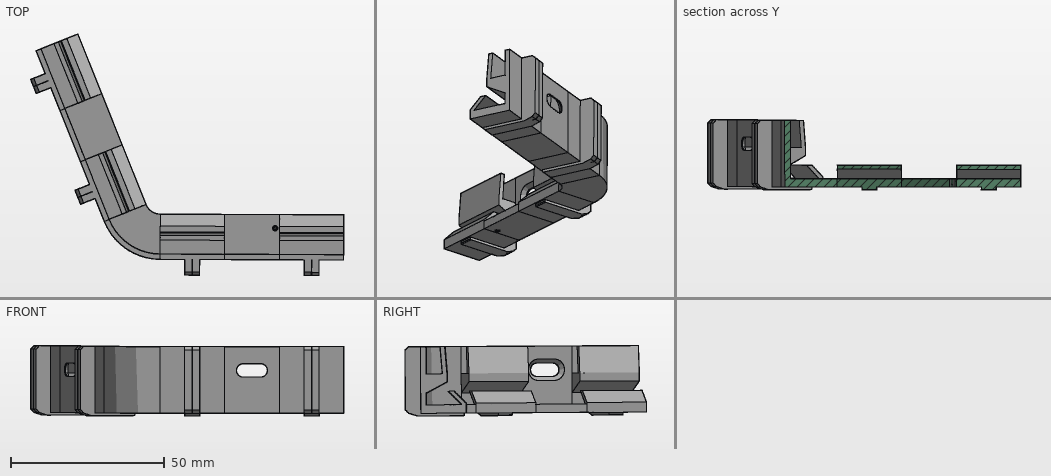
import cadquery as cq

ARM_ANGLE = 112.0
TURN = 180 - ARM_ANGLE
CLIP_LENGTH = 21.0
PLATE_LENGTH = 18.0
INNER_RADIUS = 5.0
WIDTH = 14.7
OUTER_RADIUS = INNER_RADIUS + WIDTH

HEIGHT = 21.8
WALL = 1.7
FLOOR = 2.8

TONGUE_TOP_INNER = 6.3
TONGUE_TOP_OUTER = 7.9
TONGUE_LEAN = 0.7
SHELF_HEIGHT = 12.9
BRACKET_OUTER_HEIGHT = 10.2
BRACKET_WALL_HEIGHT = 6.6

LIP_HEIGHT = 7.2
LIP_THICKNESS = 1.9
LIP_RISE = 3.9

RIB_WIDTH = 4.9
RIB_REACH = 5.1
RIB_DROP = 0.9
RIB_END_GAP = 0.6
RIB_CHAMFER = 1.1
RIB_RAMP_END = 1.0
RIB_END_CHAMFER = 0.3
RIB_SLIT = 0.1

SLOT_LENGTH = 10.0
SLOT_WIDTH = 4.3
SLOT_HEIGHT = 14.0
SLOT_EDGE = 0.4

HOLE_DIAMETER = 1.6
DISC_DIAMETER = 0.8
DISC_END_GAP = 1.4
DISC_OFFSET = 10.2

YAW = -0.2
ROLL = 0.3


def extrude_section(points, start, length):
    """Extrude a closed (distance from outer face, height) outline along +X from start."""
    outline = [(u - OUTER_RADIUS, z) for u, z in points]
    return cq.Workplane("YZ", origin=(start, 0, 0)).polyline(outline).close().extrude(length)


L_SECTION = [
    (0, 0),
    (WIDTH, 0),
    (WIDTH, FLOOR),
    (WALL, FLOOR),
    (WALL, HEIGHT),
    (0, HEIGHT),
]

TONGUE_SECTION = [
    (WALL, BRACKET_WALL_HEIGHT),
    (TONGUE_TOP_OUTER + TONGUE_LEAN, BRACKET_OUTER_HEIGHT),
    (TONGUE_TOP_OUTER + TONGUE_LEAN, SHELF_HEIGHT),
    (TONGUE_TOP_OUTER, HEIGHT),
    (TONGUE_TOP_INNER, HEIGHT),
    (TONGUE_TOP_INNER + TONGUE_LEAN, SHELF_HEIGHT),
    (WALL, SHELF_HEIGHT),
]

LIP_SECTION = [
    (WIDTH, FLOOR),
    (WIDTH, LIP_HEIGHT - LIP_RISE),
    (WIDTH - LIP_RISE, LIP_HEIGHT),
    (WIDTH - LIP_RISE - LIP_THICKNESS, LIP_HEIGHT),
    (WIDTH - LIP_RISE - LIP_THICKNESS + LIP_HEIGHT - FLOOR, FLOOR),
]

RIB_SECTION = [
    (0, HEIGHT),
    (RIB_CHAMFER - RIB_REACH, HEIGHT),
    (-RIB_REACH, HEIGHT - RIB_CHAMFER),
    (-RIB_REACH, RIB_CHAMFER),
    (RIB_CHAMFER - RIB_REACH, 0),
    (-RIB_RAMP_END, -RIB_DROP),
    (WIDTH - RIB_END_GAP - RIB_END_CHAMFER, -RIB_DROP),
    (WIDTH - RIB_END_GAP, RIB_END_CHAMFER - RIB_DROP),
    (WIDTH - RIB_END_GAP, 0),
    (0, 0),
]

SLIT_SECTION = [
    (-RIB_REACH, 0),
    (0, 0),
    (0, HEIGHT),
    (-RIB_REACH, HEIGHT),
]


def clip_segment(start):
    """L-shaped segment with the clip tongue, the lip and a rib split by a slit at mid length."""
    rib_start = start + (CLIP_LENGTH - RIB_WIDTH) / 2
    slit_start = start + (CLIP_LENGTH - RIB_SLIT) / 2
    return (
        extrude_section(L_SECTION, start, CLIP_LENGTH)
        .union(extrude_section(TONGUE_SECTION, start, CLIP_LENGTH))
        .union(extrude_section(LIP_SECTION, start, CLIP_LENGTH))
        .union(extrude_section(RIB_SECTION, rib_start, RIB_WIDTH))
        .cut(extrude_section(SLIT_SECTION, slit_start, RIB_SLIT))
    )


def slotted_plate(start):
    """L-shaped segment with a rounded slot, flared on the inside, through its wall."""
    centre = (start + PLATE_LENGTH / 2, -OUTER_RADIUS, SLOT_HEIGHT)
    slot = cq.Workplane("XZ", origin=centre).slot2D(SLOT_LENGTH, SLOT_WIDTH).extrude(-WALL)
    flare_depth = WALL - SLOT_EDGE
    flare = (
        cq.Workplane("XZ", origin=centre)
        .workplane(offset=-WALL)
        .slot2D(SLOT_LENGTH + 2 * flare_depth, SLOT_WIDTH + 2 * flare_depth)
        .extrude(flare_depth, taper=45)
    )
    return extrude_section(L_SECTION, start, PLATE_LENGTH).cut(slot).cut(flare)


def bend():
    """L-shaped section swept about the Z axis, from the end of one arm to the other."""
    outline = [(u - OUTER_RADIUS, z) for u, z in L_SECTION]
    return cq.Workplane("YZ").polyline(outline).close().revolve(TURN, (0, 0), (0, -1))


def floor_cylinder(diameter):
    """Cylinder through the floor at the place of the loose disc."""
    centre_x = CLIP_LENGTH + PLATE_LENGTH - DISC_END_GAP
    centre = (centre_x, DISC_OFFSET - OUTER_RADIUS, 0)
    return cq.Workplane("XY", origin=centre).circle(diameter / 2).extrude(FLOOR)


def onto_second_arm(body):
    """Turn a body on the -X side of the bend onto the second arm."""
    return body.rotate((0, 0, 0), (0, 0, 1), -TURN)


def skewed(body):
    """Apply the slight skew of the whole rail."""
    yawed = body.rotate((0, 0, 0), (0, 0, 1), YAW)
    return yawed.rotate((0, 0, 0), (1, 0, 0), ROLL)


PLATE_START = CLIP_LENGTH
CLIP_STARTS = [0, CLIP_LENGTH + PLATE_LENGTH]

corner = bend()
disc = floor_cylinder(DISC_DIAMETER)
first_plate = slotted_plate(PLATE_START).cut(floor_cylinder(HOLE_DIAMETER))
second_plate = onto_second_arm(slotted_plate(-PLATE_START - PLATE_LENGTH))

clips = []
for clip_start in CLIP_STARTS:
    clips.append(clip_segment(clip_start))
    clips.append(onto_second_arm(clip_segment(-clip_start - CLIP_LENGTH)))

bodies = [corner, disc, first_plate, second_plate, *clips]
result = cq.Compound.makeCompound([skewed(body).val() for body in bodies])